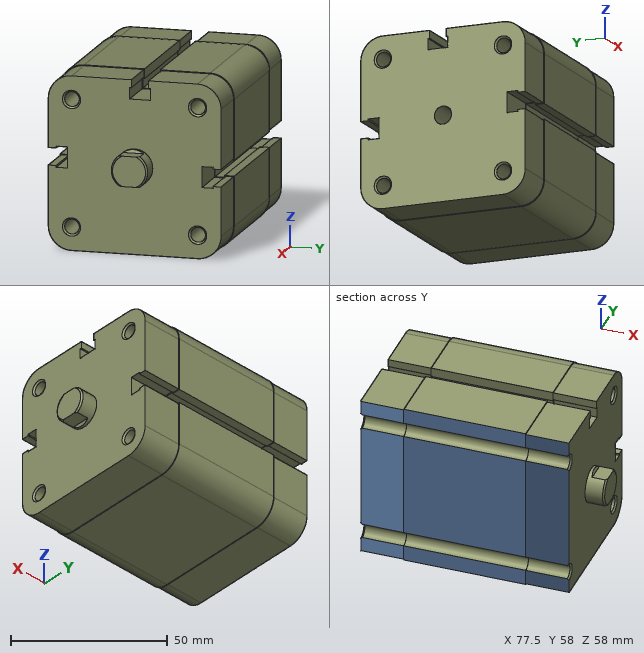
import cadquery as cq


overall_length = 77.5
cap_length = 14.7
rod_length = 6.5
barrel_length = overall_length - 2 * cap_length - rod_length
front_cap_start = cap_length + barrel_length
rod_start = front_cap_start + cap_length

barrel_width = 58.0
barrel_corner_radius = 8.05
cap_setback = 0.27

slot_offset = 1.8
slot_mouth_width = 5.2
slot_inner_width = 6.35
slot_lip = 3.2
slot_depth = 6.35
slot_angles = (0, 90, 270)

mount_spacing = 41.9
mount_diameter = 4.9
mount_countersink = 0.58

port_diameter = 6.0

rod_diameter = 12.1
rod_end_chamfer = 0.55
flat_width = 10.0
flat_start = 1.5
flat_ramp = 0.55


def profile_block(start, length, setback):
    """Slotted square block, with its whole profile moved inward by the setback."""
    width = barrel_width - 2 * setback
    block = (
        cq.Workplane("YZ", origin=(start, 0, 0))
        .rect(width, width)
        .extrude(length)
        .edges("|X")
        .fillet(barrel_corner_radius - setback)
    )
    for angle in slot_angles:
        block = block.cut(slot_cutter(start, length, setback, angle))
    return block


def slot_cutter(start, length, setback, angle):
    """T-shaped bar that cuts the top slot, turned about the X axis to its side."""
    face = barrel_width / 2
    half_mouth = slot_mouth_width / 2 + setback
    half_inner = slot_inner_width / 2 + setback
    lip_height = face - slot_lip + setback
    floor_height = face - slot_depth - setback
    cutter = (
        cq.Workplane("YZ", origin=(start, slot_offset, 0))
        .moveTo(-half_mouth, face)
        .lineTo(-half_mouth, lip_height)
        .lineTo(-half_inner, lip_height)
        .lineTo(-half_inner, floor_height)
        .lineTo(half_inner, floor_height)
        .lineTo(half_inner, lip_height)
        .lineTo(half_mouth, lip_height)
        .lineTo(half_mouth, face)
        .close()
        .extrude(length)
    )
    return cutter.rotate((0, 0, 0), (1, 0, 0), angle)


def mount_hole_cutter():
    """Four full-length drills that widen to a cone at each outer end."""
    drill_radius = mount_diameter / 2
    mouth_radius = drill_radius + mount_countersink
    drill = (
        cq.Workplane("XY")
        .moveTo(0, 0)
        .lineTo(0, mouth_radius)
        .lineTo(mount_countersink, drill_radius)
        .lineTo(rod_start - mount_countersink, drill_radius)
        .lineTo(rod_start, mouth_radius)
        .lineTo(rod_start, 0)
        .close()
        .revolve(360, (0, 0, 0), (1, 0, 0))
    )
    drills = cq.Workplane("XY")
    for y_side in (-1, 1):
        for z_side in (-1, 1):
            place = (0, y_side * mount_spacing / 2, z_side * mount_spacing / 2)
            drills = drills.add(drill.translate(place))
    return drills.combine()


def make_barrel(mount_holes):
    return profile_block(cap_length, barrel_length, 0).cut(mount_holes)


def make_rear_cap(mount_holes):
    port = cq.Workplane("YZ").circle(port_diameter / 2).extrude(cap_length)
    return profile_block(0, cap_length, cap_setback).cut(mount_holes).cut(port)


def make_front_cap(mount_holes):
    return profile_block(front_cap_start, cap_length, cap_setback).cut(mount_holes)


def make_rod():
    """Round rod end standing on the front cap, with a flat above and below."""
    rod_radius = rod_diameter / 2
    half_flat = flat_width / 2
    rod = (
        cq.Workplane("YZ", origin=(rod_start, 0, 0))
        .circle(rod_radius)
        .extrude(rod_length)
        .faces(">X")
        .chamfer(rod_end_chamfer)
    )
    flat_cutter = (
        cq.Workplane("XZ", origin=(rod_start, 0, 0))
        .moveTo(flat_start - flat_ramp, rod_radius)
        .lineTo(flat_start, half_flat)
        .lineTo(rod_length, half_flat)
        .lineTo(rod_length, rod_radius)
        .close()
        .extrude(rod_radius, both=True)
    )
    return rod.cut(flat_cutter).cut(flat_cutter.mirror("XY"))


mount_hole_drills = mount_hole_cutter()
barrel = make_barrel(mount_hole_drills)
rear_cap = make_rear_cap(mount_hole_drills)
front_cap = make_front_cap(mount_hole_drills)
rod = make_rod()

result = cq.Compound.makeCompound([rear_cap.val(), barrel.val(), front_cap.val(), rod.val()])